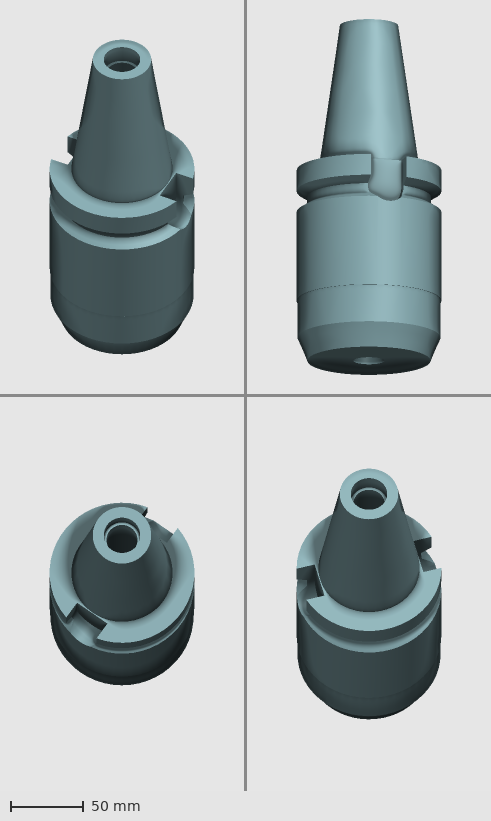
import cadquery as cq

total_height = 237.3
flange_top = 134.8
taper_base = 135.7
flange_bottom = 120.0
groove_top = 115.8
groove_bottom = 109.6
body_top = 105.1
skirt_top = 42.5
nose_start = 16.4

body_diameter = 100.0
body_radius = body_diameter / 2
skirt_radius = 49.4
taper_base_radius = 35.0
taper_tip_radius = 20.2
groove_radius = 42.7
nose_radius = 42.5

nose_mid_radius = 45.5
nose_mid_height = 7.8

through_radius = 10.7
tip_bore_radius = 12.5
tip_bore_depth = 12.8

slot_width = 25.6
slot_bottom = 102.0
slot_floor_x = 35.4


def make_body():
    """Revolve the nose, skirt, body, grooved flange and taper about Z."""
    return (
        cq.Workplane("XZ")
        .moveTo(0, 0)
        .lineTo(nose_radius, 0)
        .threePointArc((nose_mid_radius, nose_mid_height), (skirt_radius, nose_start))
        .lineTo(skirt_radius, skirt_top)
        .lineTo(body_radius, skirt_top)
        .lineTo(body_radius, body_top)
        .lineTo(groove_radius, groove_bottom)
        .lineTo(groove_radius, groove_top)
        .lineTo(body_radius, flange_bottom)
        .lineTo(body_radius, flange_top)
        .lineTo(taper_base_radius, flange_top)
        .lineTo(taper_base_radius, taper_base)
        .lineTo(taper_tip_radius, total_height)
        .lineTo(0, total_height)
        .close()
        .revolve(360, (0, 0), (0, 1))
    )


def make_bore():
    """Through hole with a wider counterbore at the taper tip."""
    through = cq.Workplane("XY").circle(through_radius).extrude(total_height)
    tip_bore = (
        cq.Workplane("XY", origin=(0, 0, total_height - tip_bore_depth))
        .circle(tip_bore_radius)
        .extrude(tip_bore_depth)
    )
    return through.union(tip_bore)


def make_drive_slot(side):
    """Round-ended slot cut inward from the +X (side=1) or -X (side=-1) side."""
    half_width = slot_width / 2
    arc_center_z = slot_bottom + half_width
    return (
        cq.Workplane("YZ", origin=(side * slot_floor_x, 0, 0))
        .moveTo(-half_width, flange_top)
        .lineTo(-half_width, arc_center_z)
        .threePointArc((0, slot_bottom), (half_width, arc_center_z))
        .lineTo(half_width, flange_top)
        .close()
        .extrude(side * (body_radius - slot_floor_x))
    )


result = make_body().cut(make_bore())
for side in (-1, 1):
    result = result.cut(make_drive_slot(side))